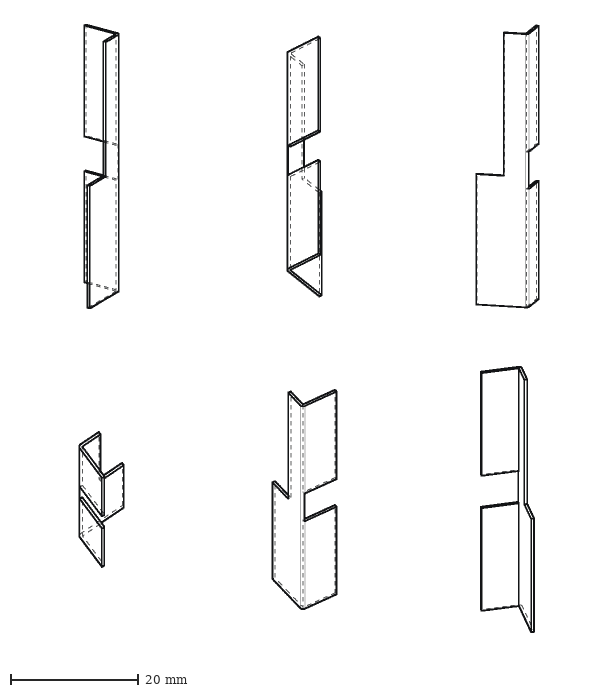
import cadquery as cq

width = 6.5
depth = 8.5
height = 44.0
thickness = 0.5
bend_radius = 0.5

tab_height = 19.0
gap_height = height - 2 * tab_height

step_height = 21.0
upper_web_depth = 4.0


def angle_profile():
    """Extrude the L section: back flange along X and side web along Y, with a rounded outer corner."""
    inner_x = width - thickness
    inner_y = depth - thickness
    outline = [
        (0, depth),
        (width, depth),
        (width, 0),
        (inner_x, 0),
        (inner_x, inner_y),
        (0, inner_y),
    ]
    section = cq.Workplane("XY").polyline(outline).close().extrude(height)
    return section.edges("|Z and >X and >Y").fillet(bend_radius)


def flange_gap():
    """Block that clears the back flange up to the inner face of the web."""
    return cq.Workplane("XY").box(
        width - thickness, depth, gap_height, centered=False
    ).translate((0, 0, tab_height))


def web_step():
    """Block that removes the front part of the web above the step."""
    return cq.Workplane("XY").box(
        width, depth - upper_web_depth, height - step_height, centered=False
    ).translate((0, 0, step_height))


result = angle_profile().cut(flange_gap()).cut(web_step())